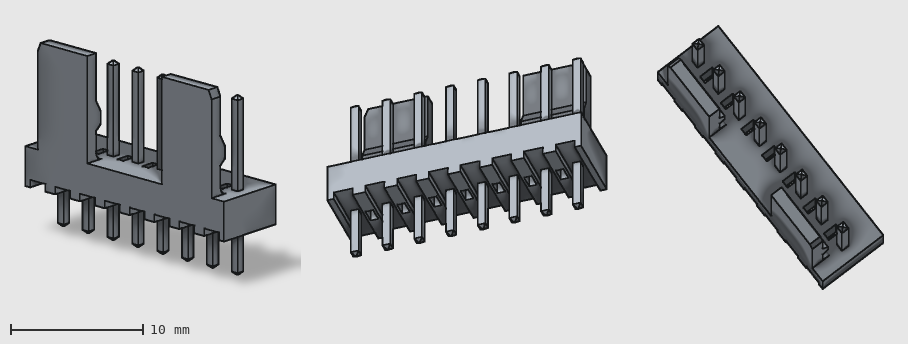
import cadquery as cq

pin_count = 8
pitch = 2.55
pin_width = 0.63
pin_tip_chamfer = 0.26
pin_above_body = 7.48
pin_below_body = 3.58

body_length = pin_count * pitch
body_depth = 5.8
body_height = 3.17
pin_row_y = body_depth / 2

channel_width = 1.52
channel_depth = 0.6

slot_width = 0.6
slot_depth = 1.15

tab_width = 2 * pitch
tab_height = 8.51
tab_thickness = 1.0
tab_root_fillet = 0.6
corner_run = 0.3
corner_drop = 0.7

ridge_reach = 0.5
ridge_bottom = 2.34
ridge_flat_bottom = 2.78
ridge_flat_top = 3.8
ridge_top = 4.71

end_pin_x = (pin_count - 1) * pitch / 2
pin_xs = [i * pitch - end_pin_x for i in range(pin_count)]
slot_xs = [x + pitch / 2 for x in pin_xs[:-1]]


def make_body():
    """Block with cross channels under the pins and slots between them."""
    body = cq.Workplane("XY").box(body_length, body_depth, body_height, centered=(True, False, False))
    channels = (
        cq.Workplane("XY")
        .pushPoints([(x, pin_row_y) for x in pin_xs])
        .rect(channel_width, body_depth)
        .extrude(channel_depth)
    )
    slots = (
        cq.Workplane("XY")
        .pushPoints([(x, pin_row_y) for x in slot_xs])
        .rect(slot_width, slot_depth)
        .extrude(body_height)
    )
    return body.cut(channels).cut(slots)


def make_left_tab():
    """Locking tab with a catch ridge, a root fillet and a sloped outer top corner."""
    ridge_y = tab_thickness + ridge_reach
    outer_x = -end_pin_x
    profile = (
        cq.Workplane("YZ", origin=(outer_x, 0, body_height))
        .moveTo(0, 0)
        .lineTo(tab_thickness + tab_root_fillet, 0)
        .radiusArc((tab_thickness, tab_root_fillet), tab_root_fillet)
        .lineTo(tab_thickness, ridge_bottom)
        .lineTo(ridge_y, ridge_flat_bottom)
        .lineTo(ridge_y, ridge_flat_top)
        .lineTo(tab_thickness, ridge_top)
        .lineTo(tab_thickness, tab_height)
        .lineTo(0, tab_height)
        .close()
    )
    tab_top = body_height + tab_height
    corner = (
        cq.Workplane("XZ")
        .polyline([(outer_x, tab_top), (outer_x + corner_run, tab_top), (outer_x, tab_top - corner_drop)])
        .close()
        .extrude(-tab_thickness)
    )
    return profile.extrude(tab_width).cut(corner)


def make_pin(x):
    """Square pin through the body with both tips chamfered."""
    pin_length = pin_below_body + body_height + pin_above_body
    return (
        cq.Workplane("XY", origin=(x, pin_row_y, -pin_below_body))
        .rect(pin_width, pin_width)
        .extrude(pin_length)
        .faces("<Z or >Z")
        .chamfer(pin_tip_chamfer)
    )


left_tab = make_left_tab()
right_tab = left_tab.mirror("YZ")

result = make_body().union(left_tab).union(right_tab)
for pin_x in pin_xs:
    result = result.union(make_pin(pin_x))